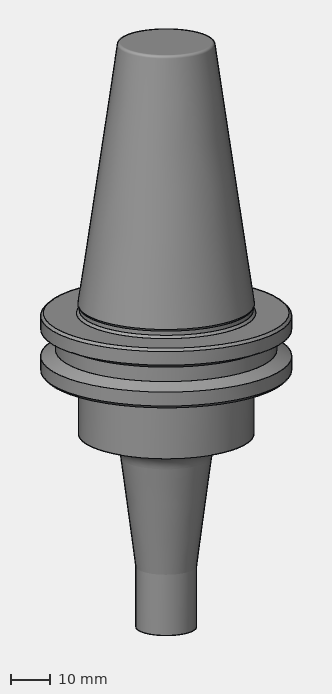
import cadquery as cq
import math


shank_top_z = 68.25
gauge_radius = 44.45 / 2
taper_ratio = 7 / 24
tip_round = 0.7
taper_end_z = -0.85

neck_radius = 44.0 / 2
neck_top_z = -1.4
neck_bottom_z = -2.5

flange_radius = 63.5 / 2
flange_top_z = -3.175
flange_thickness = 15.75
flange_bottom_z = flange_top_z - flange_thickness
flange_chamfer = 0.7
groove_center_z = -11.0
groove_radius = 56.0 / 2
groove_floor_width = 3.8
groove_mouth_width = 7.1

collar_radius = 44.45 / 2
collar_root_chamfer = 0.8
collar_bottom_z = -35.0

shoulder_angle = math.radians(15)
cone_angle = math.radians(7.5)
transition_radius = 5.0
nose_radius = 15.4 / 2
nose_cone_end_z = -70.0
overall_length = 154.25
nose_bottom_z = shank_top_z - overall_length


def taper_radius(z):
    """Radius of the shank taper at height z."""
    return gauge_radius - z * taper_ratio / 2


def trace_shank(profile):
    """Rounded tip, taper and relief neck."""
    tip_round_end_z = shank_top_z - tip_round
    neck_flare = neck_bottom_z - flange_top_z
    return (
        profile
        .lineTo(taper_radius(shank_top_z) - tip_round, shank_top_z)
        .tangentArcPoint((taper_radius(tip_round_end_z), tip_round_end_z), relative=False)
        .lineTo(taper_radius(taper_end_z), taper_end_z)
        .lineTo(neck_radius, neck_top_z)
        .lineTo(neck_radius, neck_bottom_z)
        .lineTo(neck_radius + neck_flare, flange_top_z)
    )


def trace_flange(profile):
    """Chamfered flange rim with the V-sided gripper groove."""
    return (
        profile
        .lineTo(flange_radius - flange_chamfer, flange_top_z)
        .lineTo(flange_radius, flange_top_z - flange_chamfer)
        .lineTo(flange_radius, groove_center_z + groove_mouth_width / 2)
        .lineTo(groove_radius, groove_center_z + groove_floor_width / 2)
        .lineTo(groove_radius, groove_center_z - groove_floor_width / 2)
        .lineTo(flange_radius, groove_center_z - groove_mouth_width / 2)
        .lineTo(flange_radius, flange_bottom_z + flange_chamfer)
        .lineTo(flange_radius - flange_chamfer, flange_bottom_z)
    )


def trace_collar(profile):
    """Collar with a chamfered root under the flange."""
    return (
        profile
        .lineTo(collar_radius + collar_root_chamfer, flange_bottom_z)
        .lineTo(collar_radius, flange_bottom_z - collar_root_chamfer)
        .lineTo(collar_radius, collar_bottom_z)
    )


def trace_nose(profile):
    """Shoulder and cone joined by a tangent arc, then the straight end."""
    shoulder_slope = math.tan(shoulder_angle)
    cone_slope = math.tan(cone_angle)

    shoulder_apex_z = collar_bottom_z - collar_radius * shoulder_slope
    cone_reach = nose_radius + (shoulder_apex_z - nose_cone_end_z) * cone_slope
    corner_radius = cone_reach / (1 - shoulder_slope * cone_slope)
    corner_z = shoulder_apex_z + corner_radius * shoulder_slope

    turn_angle = math.pi / 2 - shoulder_angle - cone_angle
    trim = transition_radius * math.tan(turn_angle / 2)
    arc_start = (corner_radius + trim * math.cos(shoulder_angle), corner_z + trim * math.sin(shoulder_angle))
    arc_end = (corner_radius - trim * math.sin(cone_angle), corner_z - trim * math.cos(cone_angle))

    return (
        profile
        .lineTo(*arc_start)
        .tangentArcPoint(arc_end, relative=False)
        .lineTo(nose_radius, nose_cone_end_z)
        .lineTo(nose_radius, nose_bottom_z)
        .lineTo(0, nose_bottom_z)
    )


half_profile = cq.Workplane("XZ").moveTo(0, shank_top_z)
half_profile = trace_shank(half_profile)
half_profile = trace_flange(half_profile)
half_profile = trace_collar(half_profile)
half_profile = trace_nose(half_profile)
result = half_profile.close().revolve(360, (0, 0, 0), (0, 1, 0))